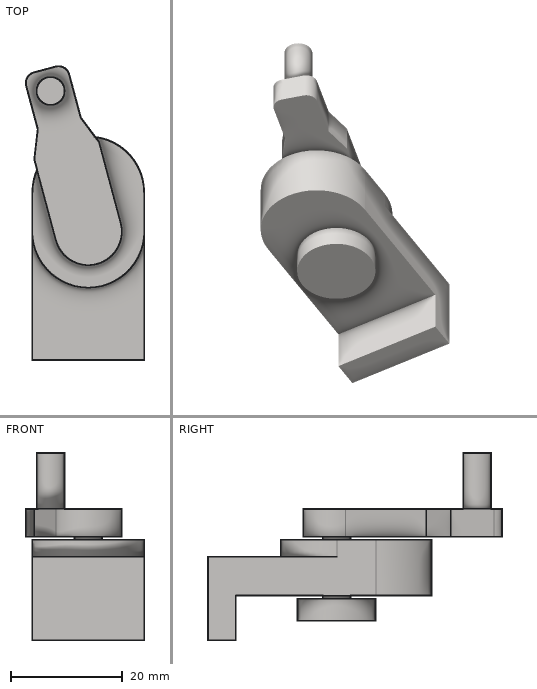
import cadquery as cq
import math

overall_length = 52.55

base_width = 20.0
base_radius = base_width / 2
rear_arc_y = 7.0
foot_thickness = 5.0
plate_bottom = 8.0
plate_top = 15.0
pad_top = 18.0

shaft_diameter = 5.0
handle_diameter = 5.0
retainer_diameter = 14.0
retainer_thickness = 4.0
clearance = 0.5
arm_thickness = 5.0
handle_height = 10.0
arm_angle = 15.0
hub_radius = 6.0
hub_shoulder = 15.0
neck_shoulder = 20.0
tip_half_width = 4.0
arm_reach = 30.0
tip_radius = 2.0
handle_distance = 26.0

arm_bottom = pad_top + clearance
arm_top = arm_bottom + arm_thickness
retainer_top = plate_bottom - clearance
retainer_bottom = retainer_top - retainer_thickness

tilt = math.radians(arm_angle)
corner_along = arm_reach - tip_radius
corner_across = tip_half_width - tip_radius
rear_y = corner_along * math.cos(tilt) + corner_across * math.sin(tilt) + tip_radius
front_y = rear_y - overall_length


def cylinder(diameter, bottom, top, y=0):
    return cq.Workplane("XY", origin=(0, y, bottom)).circle(diameter / 2).extrude(top - bottom)


def make_base():
    """L-shaped bracket with a rounded rear end, a raised pad and a shaft bore."""
    plate = (
        cq.Workplane("XY", origin=(0, 0, plate_bottom))
        .moveTo(-base_radius, front_y)
        .lineTo(base_radius, front_y)
        .lineTo(base_radius, rear_arc_y)
        .threePointArc((0, rear_arc_y + base_radius), (-base_radius, rear_arc_y))
        .close()
        .extrude(plate_top - plate_bottom)
    )
    foot = (
        cq.Workplane("XY", origin=(0, front_y, 0))
        .rect(base_width, foot_thickness)
        .extrude(plate_top)
        .translate((0, foot_thickness / 2, 0))
    )
    pad = (
        cq.Workplane("XY", origin=(0, rear_arc_y / 2, plate_bottom))
        .slot2D(rear_arc_y + base_width, base_width, 90)
        .extrude(pad_top - plate_bottom)
    )
    bore = cylinder(shaft_diameter, plate_bottom, pad_top)
    return plate.union(foot).union(pad).cut(bore)


def make_arm():
    """Arm along +Y: round hub, tapering shoulders and a narrow tip with rounded corners."""
    outline = (
        cq.Workplane("XY", origin=(0, 0, arm_bottom))
        .moveTo(-hub_radius, 0)
        .threePointArc((0, -hub_radius), (hub_radius, 0))
        .lineTo(hub_radius, hub_shoulder)
        .lineTo(tip_half_width, neck_shoulder)
        .lineTo(tip_half_width, arm_reach)
        .lineTo(-tip_half_width, arm_reach)
        .lineTo(-tip_half_width, neck_shoulder)
        .lineTo(-hub_radius, hub_shoulder)
        .close()
    )
    arm = outline.extrude(arm_thickness)
    return arm.faces(">Y").edges("|Z").fillet(tip_radius)


def make_crank():
    """Arm with its handle, and the shaft that carries the retaining disc under the base."""
    handle = cylinder(handle_diameter, arm_top, arm_top + handle_height, handle_distance)
    shaft = cylinder(shaft_diameter, retainer_top, arm_bottom)
    retainer = cylinder(retainer_diameter, retainer_bottom, retainer_top)
    crank = make_arm().union(handle).union(shaft).union(retainer)
    return crank.rotate((0, 0, 0), (0, 0, 1), arm_angle)


base = make_base()
crank = make_crank()

result = cq.Compound.makeCompound([base.val(), crank.val()])